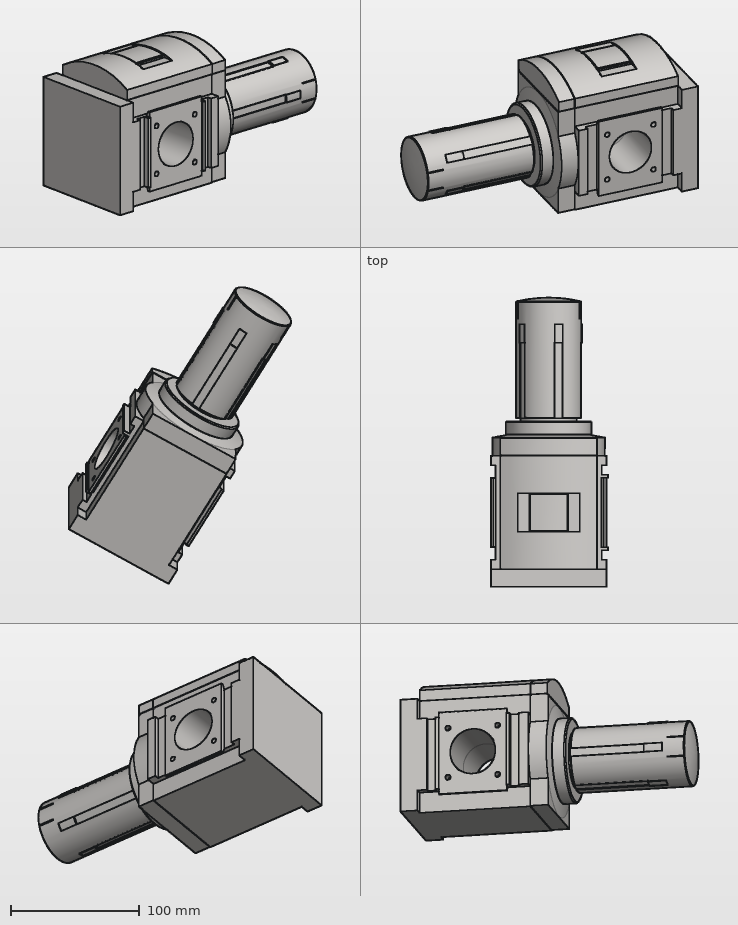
import cadquery as cq


width = 90.0
half_width = width / 2
plate_thickness = 13.7
seam_y = 102.0
core_half_width = 37.4

trim_half_width = 37.8
trim_shoulder_z = 53.5
trim_top_z = 64.0

port_y = 57.9
band_half_height = 28.8
channel_half_length = 36.7
channel_floor_x = 41.5
pad_half_length = 27.0
pad_half_height = 32.9
pad_rim = 2.0
pad_slope_width = 2.0
port_diameter = 36.0
screw_diameter = 4.0
screw_pitch = 39.6
screw_depth = 9.0
fin_thickness = 2.5
fin_overhang = 1.4

window_half_length = 14.9
window_half_width = 24.2
window_depth = 4.0
label_half_width = 15.0
label_recess = 0.2
label_chamfer = 0.7

bonnet_end_y = 116.2
bonnet_half_height = 44.5
trim_inset = 0.5
boss_diameter = 87.8
collar_diameter = 66.9
collar_start_y = 118.2
collar_end_y = 129.0
collar_chamfer = 1.1
collar_base_chamfer = 0.5
neck_diameter = 44.0

knob_diameter = 51.1
knob_radius = knob_diameter / 2
knob_start_y = 131.0
dome_start_y = 222.3
knob_end_y = 225.2
knob_chamfer = 0.7
grip_count = 5
grip_half_width = 3.27
grip_pad_start_y = 189.8
grip_pad_end_y = 204.5
grip_pad_radius = 26.1
grip_slot_depth = 1.1
tab_half_width = 7.9
tab_start_y = 208.5
tab_slit_width = 0.5
tab_slit_floor_x = 23.6


def box(x_range, y_range, z_range):
    """Axis-aligned box between the given (low, high) limits."""
    size = [high - low for low, high in (x_range, y_range, z_range)]
    corner = (x_range[0], y_range[0], z_range[0])
    return cq.Workplane("XY").box(*size, centered=False).translate(corner)


def cylinder_y(diameter, start_y, end_y):
    """Cylinder on the knob axis."""
    return cq.Workplane("XZ", origin=(0, start_y, 0)).circle(diameter / 2).extrude(start_y - end_y)


def trim_block(bottom_z, start_y, end_y):
    """Block with flat sides and an arched top."""
    return (
        cq.Workplane("XZ", origin=(0, start_y, 0))
        .moveTo(-trim_half_width, bottom_z)
        .lineTo(-trim_half_width, trim_shoulder_z)
        .threePointArc((0, trim_top_z), (trim_half_width, trim_shoulder_z))
        .lineTo(trim_half_width, bottom_z)
        .close()
        .extrude(start_y - end_y)
    )



def connection_band():
    """Band across the housing, with a channel in each X side."""
    band_x = (-half_width, half_width)
    band_z = (-band_half_height, band_half_height)
    band = box(band_x, (0, seam_y), band_z)
    channel_y = (port_y - channel_half_length, port_y + channel_half_length)
    for channel_x in ((-half_width, -channel_floor_x), (channel_floor_x, half_width)):
        band = band.cut(box(channel_x, channel_y, band_z))
    return band


def connection_pad():
    """Pad on the +X side whose top and bottom edges slope back to the band."""
    rim_x = half_width - pad_rim
    slope_start_x = rim_x - pad_slope_width
    return (
        cq.Workplane("XZ", origin=(0, port_y, 0))
        .moveTo(0, band_half_height)
        .lineTo(slope_start_x, band_half_height)
        .lineTo(rim_x, pad_half_height)
        .lineTo(half_width, pad_half_height)
        .lineTo(half_width, -pad_half_height)
        .lineTo(rim_x, -pad_half_height)
        .lineTo(slope_start_x, -band_half_height)
        .lineTo(0, -band_half_height)
        .close()
        .extrude(pad_half_length, both=True)
    )


def pad_fins():
    """Two fins on the +X side, one at each end of the pad."""
    fin_x = (channel_floor_x, half_width + fin_overhang)
    fin_z = (-band_half_height, band_half_height)
    fin_end = pad_half_length + fin_thickness
    low_fin = box(fin_x, (port_y - fin_end, port_y - pad_half_length), fin_z)
    high_fin = box(fin_x, (port_y + pad_half_length, port_y + fin_end), fin_z)
    return low_fin.add(high_fin).combine()


def housing_trim():
    """Arched trim with a window and the chamfered label block standing in it."""
    trim = trim_block(half_width, plate_thickness, seam_y)
    window_y = (port_y - window_half_length, port_y + window_half_length)
    floor_z = trim_top_z - window_depth
    window_x = (-window_half_width, window_half_width)
    trim = trim.cut(box(window_x, window_y, (floor_z, trim_top_z)))
    arch = trim_block(half_width, *window_y).translate((0, 0, -label_recess))
    label = box((-label_half_width, label_half_width), window_y, (half_width, trim_top_z))
    label = label.intersect(arch).faces(">Z").chamfer(label_chamfer)
    return trim.union(label)


def screw_holes():
    """Four blind screw holes around the port, opening on the +X side."""
    return (
        cq.Workplane("YZ", origin=(half_width, port_y, 0))
        .rect(screw_pitch, screw_pitch, forConstruction=True)
        .vertices()
        .circle(screw_diameter / 2)
        .extrude(-screw_depth)
    )


def make_housing():
    full_width = (-half_width, half_width)
    plate = box(full_width, (0, plate_thickness), full_width)
    core = box((-core_half_width, core_half_width), (0, seam_y), full_width)
    pad = connection_pad()
    body = plate.union(core).union(connection_band()).union(pad).union(pad.mirror("YZ"))
    body = body.union(pad_fins()).union(housing_trim())
    port = cq.Workplane("YZ", origin=(0, port_y, 0)).circle(port_diameter / 2)
    screws = screw_holes()
    body = body.cut(port.extrude(half_width, both=True))
    return body.cut(screws).cut(screws.mirror("YZ"))



def make_bonnet():
    flange_x = (-core_half_width, core_half_width)
    flange = box(flange_x, (seam_y, bonnet_end_y), (-bonnet_half_height, bonnet_half_height))
    boss = cylinder_y(boss_diameter, seam_y, bonnet_end_y)
    trim_start_y = seam_y + trim_inset
    trim_end_y = bonnet_end_y - trim_inset
    trim = trim_block(half_width, trim_start_y, trim_end_y)
    trim_root = box(flange_x, (trim_start_y, trim_end_y), (0, half_width))
    cone_tip_diameter = collar_diameter - 2 * collar_base_chamfer
    cone = (
        cq.Workplane("XZ", origin=(0, bonnet_end_y, 0))
        .circle(boss_diameter / 2)
        .workplane(offset=bonnet_end_y - collar_start_y)
        .circle(cone_tip_diameter / 2)
        .loft()
    )
    collar = cylinder_y(collar_diameter, collar_start_y, collar_end_y)
    collar = collar.faces(">Y").chamfer(collar_chamfer)
    collar = collar.faces("<Y").chamfer(collar_base_chamfer)
    neck = cylinder_y(neck_diameter, collar_end_y, knob_start_y)
    body = flange.union(boss).union(trim_root).union(trim)
    return body.union(cone).union(collar).union(neck)



def knob_blank():
    """Turned knob with chamfered ends and a domed cap."""
    rim_radius = knob_radius - knob_chamfer
    dome_height = knob_end_y - dome_start_y
    dome_middle = (rim_radius / 2, dome_start_y + 0.75 * dome_height)
    return (
        cq.Workplane("XY")
        .moveTo(0, knob_start_y)
        .lineTo(rim_radius, knob_start_y)
        .lineTo(knob_radius, knob_start_y + knob_chamfer)
        .lineTo(knob_radius, dome_start_y - knob_chamfer)
        .lineTo(rim_radius, dome_start_y)
        .threePointArc(dome_middle, (0, knob_end_y))
        .close()
        .revolve(360, (0, 0, 0), (0, 1, 0))
    )


def grip_slot():
    """Slot from the grip pad to the open end of the knob, at +X."""
    slot_x = (knob_radius - grip_slot_depth, grip_pad_radius)
    return box(slot_x, (knob_start_y, grip_pad_start_y), (-grip_half_width, grip_half_width))


def grip_pad():
    """Raised pad at the end of the slot, at +X."""
    pad_y = (grip_pad_start_y, grip_pad_end_y)
    block = box((neck_diameter / 2, grip_pad_radius), pad_y, (-grip_half_width, grip_half_width))
    return block.intersect(cylinder_y(2 * grip_pad_radius, *pad_y))


def tab_slits():
    """Shallow slits along both edges of the locking tabs at +X and -X."""
    slits = cq.Workplane("XY")
    for slit_x in ((-knob_radius, -tab_slit_floor_x), (tab_slit_floor_x, knob_radius)):
        for middle_z in (-tab_half_width, tab_half_width):
            slit_z = (middle_z - tab_slit_width / 2, middle_z + tab_slit_width / 2)
            slits = slits.add(box(slit_x, (tab_start_y, knob_end_y), slit_z))
    return slits.combine()


def make_knob():
    body = knob_blank().cut(tab_slits())
    for index in range(grip_count):
        angle = 360 / grip_count * index
        body = body.cut(grip_slot().rotate((0, 0, 0), (0, 1, 0), angle))
        body = body.union(grip_pad().rotate((0, 0, 0), (0, 1, 0), angle))
    return body


housing = make_housing()
bonnet = make_bonnet()
knob = make_knob()
result = cq.Compound.makeCompound([housing.val(), bonnet.val(), knob.val()])